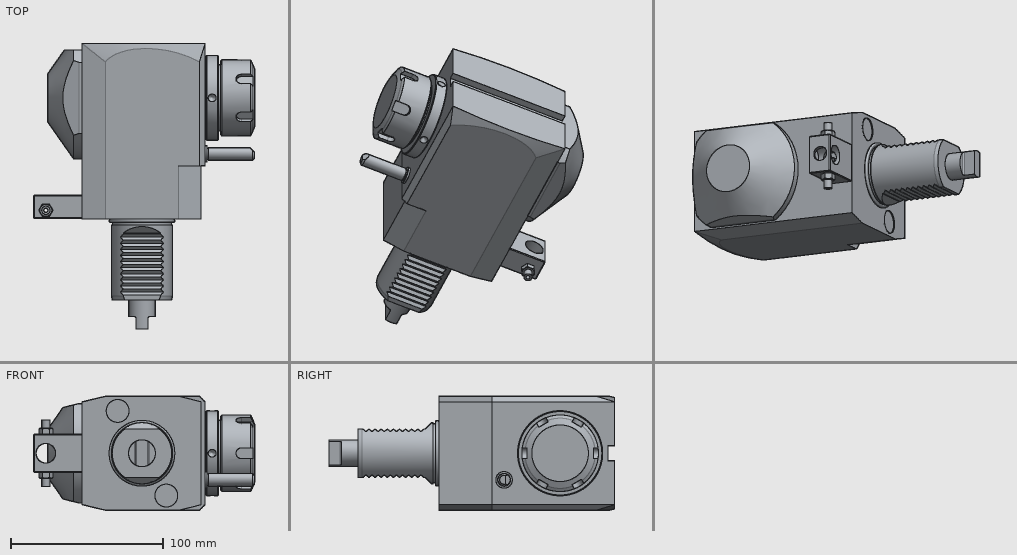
import cadquery as cq
import math


body_back = 115.6
body_left = -39.5
body_right = 41.5
body_half_height = 75.0 / 2
edge_half_height = 33.8
bevel_left = -24.0
bevel_right = 37.8
relief_length = 35.0
relief_right = 39.0
relief_bevel = 24.0
crown_length = 12.2
crown_back_height = 36.7
bevel_slope = math.tan(math.radians(14))
keyway_width = 9.5
keyway_depth = 4.3
plug_radius = 7.5
plug_depth = 0.8
plug_x = 16.0
plug_z = 27.8

collar_radius = 21.6
collar_length = 2.3
neck_radius = 19.5
neck_end = 4.0
shank_radius = 20.1
shank_length = 53.2
shank_chamfer_length = 2.6
shank_chamfer_depth = 0.5
flat_height = 16.0
ramp_start = 4.9
tooth_depth = 1.7
tooth_count = 10
tooth_root_start = 11.8
tooth_root_end = 48.0
tooth_pitch = (tooth_root_end - tooth_root_start) / (tooth_count - 1)
tang_radius = 8.8
tang_shoulder = 64.1
tang_width = 8.0
tang_root_fillet = 1.0
tang_end = 188 - body_back

spindle_y = 79.7
cap_radius = 40.2
cap_rim_end = -45.0
cap_face = -62.0
cap_face_radius = 15.8
cap_back = 111.3
cap_flat_height = 32.7
cap_flat_length = 2.0
ring_start = 42.1
ring_end = 50.2
ring_radius = 28.0
ring_chamfer = 0.5
ring_hole_radius = 2.6
ring_hole_depth = 2.6
ring_hole_count = 4
spindle_neck_radius = 21.8
nut_start = 51.7
nut_bevel = 1.0
nut_radius = 25.2
nut_round_start = 71.5
nut_shoulder = 72.5
nut_shoulder_radius = 23.1
nut_end = 74.3
nut_face_radius = 18.6
slot_count = 6
slot_width = 7.1
slot_start = 61.9
slot_floor_radius = 21.8

pin_y = 42.9
pin_z = -17.5
pin_radius = 8.5 / 2
pin_end = 74.0
pin_chamfer = 1.3
pin_bevel = 3.2
pin_flange_radius = 5.5
pin_flange_end = 42.9
pin_groove_radius = 3.8
pin_groove_end = 43.8

block_left = nut_end - 145.5
block_front = 0.4
block_back = 15.8
block_half_height = 12.6
block_chamfer = 0.5
ball_hole_x = -63.2
ball_hole_radius = 6.4
inlet_y = 7.5
inlet_radius = 4.7
inlet_depth = 18.8
jet_radius = 1.3
jet_depth = 24.5
screw_y = 5.8
screw_radius = 5.5 / 2
screw_end = 22.0
screw_bore_radius = 1.3
nut_width_flats = 8.0
lock_nut_end = 16.5
lock_nut_chamfer = 0.8


def mirrored(half):
    """Join a shape with its mirror image below Z = 0."""
    return half.union(half.mirror("XY"))


def revolve_x(outline, y, z):
    """Turn an (x, radius) outline around the line along X through (y, z)."""
    turned = cq.Workplane("XY").polyline(outline).close().revolve(360, (0, 0, 0), (1, 0, 0))
    return turned.translate((0, y, z))


def housing_prism(upper_right, length):
    """Prism along +Y with a bevelled section; upper_right lists its upper right (x, z) corners."""
    upper = [(body_left, edge_half_height), (bevel_left, body_half_height)] + upper_right
    lower = [(x, -z) for x, z in reversed(upper)]
    return cq.Workplane("XZ").polyline(upper + lower).close().extrude(-length)


def crown_cutter():
    """Wedge above the curved back bevel, ruled between an arc on the back face and one before it."""
    roof = 2 * body_half_height
    middle = (body_left + body_right) / 2
    front_middle = (bevel_left + bevel_right) / 2
    front_height = crown_back_height + crown_length * bevel_slope
    back_arc = cq.Workplane("XZ", origin=(0, body_back, 0)).moveTo(body_left, edge_half_height)
    back_arc = back_arc.threePointArc((middle, crown_back_height), (body_right, edge_half_height))
    back_wire = back_arc.lineTo(body_right, roof).lineTo(body_left, roof).close().val()
    front_arc = cq.Workplane("XZ", origin=(0, body_back - crown_length, 0))
    front_arc = front_arc.moveTo(bevel_left, body_half_height)
    front_arc = front_arc.threePointArc((front_middle, front_height), (bevel_right, body_half_height))
    front_wire = front_arc.lineTo(bevel_right, roof).lineTo(bevel_left, roof).close().val()
    return cq.Workplane(cq.Solid.makeLoft([back_wire, front_wire], True))


def make_housing():
    relief = [(relief_bevel, body_half_height), (relief_right, edge_half_height)]
    full = [(bevel_right, body_half_height), (body_right, edge_half_height)]
    front = housing_prism(relief, relief_length)
    back = housing_prism(full, body_back - relief_length).translate((0, relief_length, 0))
    body = front.union(back).cut(mirrored(crown_cutter()))
    keyway = cq.Workplane("XY").box(4 * body_right, 2 * keyway_depth, keyway_width)
    plugs = (
        cq.Workplane("XZ")
        .pushPoints([(-plug_x, plug_z), (plug_x, -plug_z)])
        .circle(plug_radius)
        .extrude(-plug_depth)
    )
    return body.cut(keyway.translate((0, body_back, 0))).cut(plugs)


def tooth_cutter():
    """Everything above the ramp and the sawtooth line of the upper shank flat."""
    clear = 2 * shank_radius
    ramp_end = ramp_start + shank_radius - flat_height
    outline = [(-ramp_start, clear), (-ramp_start, shank_radius), (-ramp_end, flat_height)]
    for i in range(tooth_count):
        root = tooth_root_start + i * tooth_pitch
        outline.append((-(root - tooth_pitch / 2), flat_height))
        outline.append((-root, flat_height - tooth_depth))
    outline.append((-(tooth_root_end + tooth_pitch / 2), flat_height))
    outline += [(-shank_length, flat_height), (-shank_length, clear)]
    return cq.Workplane("YZ").polyline(outline).close().extrude(shank_radius, both=True)


def make_shank():
    bulge = collar_length / 2
    outline = (
        cq.Workplane("XY")
        .lineTo(collar_radius - bulge, 0)
        .threePointArc((collar_radius, -bulge), (collar_radius - bulge, -collar_length))
        .lineTo(neck_radius, -collar_length)
        .lineTo(neck_radius, -neck_end)
        .lineTo(shank_radius, -neck_end)
        .lineTo(shank_radius, -(shank_length - shank_chamfer_length))
        .lineTo(shank_radius - shank_chamfer_depth, -shank_length)
        .lineTo(0, -shank_length)
        .close()
    )
    shank = outline.revolve(360, (0, 0, 0), (0, 1, 0))
    return shank.cut(mirrored(tooth_cutter()))


def make_tang():
    """Round drive stub whose end is milled to a tang with rounded roots."""
    stub = cq.Workplane("XZ").circle(tang_radius).extrude(tang_end)
    half = tang_width / 2
    side_cut = (
        cq.Workplane("XY")
        .box(tang_radius, 2 * (tang_end - tang_shoulder), 3 * tang_radius)
        .translate((half + tang_radius / 2, -tang_end, 0))
        .edges("<X and >Y")
        .fillet(tang_root_fillet)
    )
    return stub.cut(side_cut).cut(side_cut.mirror("YZ"))


def make_cap():
    outline = [
        (body_left, 0),
        (body_left, cap_radius),
        (cap_rim_end, cap_radius),
        (cap_face, cap_face_radius),
        (cap_face, 0),
    ]
    cap = revolve_x(outline, spindle_y, 0)
    flat_end = body_left - cap_flat_length
    face_height = cap_flat_height - (flat_end - cap_face) * bevel_slope
    upper = [(body_left, cap_flat_height), (flat_end, cap_flat_height), (cap_face, face_height)]
    lower = [(x, -z) for x, z in reversed(upper)]
    keep = cq.Workplane("XZ").polyline(upper + lower).close().extrude(-cap_back)
    return cap.intersect(keep)


def make_ring():
    """Spindle ring with conical spanner holes around its rim, and the neck that joins it to the nut."""
    ring = cq.Workplane("YZ", origin=(ring_start, spindle_y, 0)).circle(ring_radius)
    ring = ring.extrude(ring_end - ring_start).edges().chamfer(ring_chamfer)
    tip = cq.Vector((ring_start + ring_end) / 2, 0, ring_radius - ring_hole_depth)
    hole = cq.Workplane(cq.Solid.makeCone(0, ring_hole_radius, ring_hole_depth, pnt=tip))
    for i in range(ring_hole_count):
        angle = i * 360 / ring_hole_count
        ring = ring.cut(hole.rotate((0, 0, 0), (1, 0, 0), angle).translate((0, spindle_y, 0)))
    neck = cq.Workplane("YZ", origin=(body_right, spindle_y, 0)).circle(spindle_neck_radius)
    return ring.union(neck.extrude(nut_start - body_right))


def make_collet_nut():
    outline = [
        (nut_start, 0),
        (nut_start, nut_radius - nut_bevel),
        (nut_start + nut_bevel, nut_radius),
        (nut_round_start, nut_radius),
        (nut_shoulder, nut_shoulder_radius),
        (nut_end, nut_face_radius),
        (nut_end, 0),
    ]
    nut = revolve_x(outline, spindle_y, 0)
    slot_radius = slot_width / 2
    slot_centre = slot_start + slot_radius
    slot = (
        cq.Workplane("XZ", origin=(0, -slot_floor_radius, 0))
        .moveTo(nut_end, slot_radius)
        .lineTo(slot_centre, slot_radius)
        .threePointArc((slot_start, 0), (slot_centre, -slot_radius))
        .lineTo(nut_end, -slot_radius)
        .close()
        .extrude(nut_radius)
    )
    for i in range(slot_count):
        angle = i * 360 / slot_count
        nut = nut.cut(slot.rotate((0, 0, 0), (1, 0, 0), angle).translate((0, spindle_y, 0)))
    return nut


def make_pin():
    outline = [
        (relief_right, 0),
        (relief_right, pin_flange_radius),
        (pin_flange_end, pin_flange_radius),
        (pin_flange_end, pin_groove_radius),
        (pin_groove_end, pin_groove_radius),
        (pin_groove_end, pin_radius),
        (pin_end - pin_chamfer, pin_radius),
        (pin_end, pin_radius - pin_chamfer),
        (pin_end, 0),
    ]
    pin = revolve_x(outline, pin_y, pin_z)
    side = pin_y + pin_radius
    corner = [(pin_end, side - pin_bevel), (pin_end, side), (pin_end - pin_bevel, side)]
    bevel = cq.Workplane("XY").polyline(corner).close().extrude(2 * pin_z)
    return pin.cut(bevel)


def make_screw():
    """Upper screw of the coolant block with its hexagonal lock nut."""
    base = cq.Workplane("XY", origin=(ball_hole_x, screw_y, block_half_height))
    screw = base.circle(screw_radius).extrude(screw_end - block_half_height)
    corner_radius = nut_width_flats / 2 / math.cos(math.radians(30))
    nut_length = lock_nut_end - block_half_height
    rounded = base.circle(corner_radius).extrude(nut_length).faces(">Z").chamfer(lock_nut_chamfer)
    lock_nut = base.polygon(6, 2 * corner_radius).extrude(nut_length).intersect(rounded)
    return lock_nut.union(screw)


def make_coolant_block():
    block = (
        cq.Workplane("XY")
        .box(body_left - block_left, block_back - block_front, 2 * block_half_height)
        .translate(((body_left + block_left) / 2, (block_front + block_back) / 2, 0))
        .edges("<X or |X")
        .chamfer(block_chamfer)
    )
    ball_hole = cq.Workplane("XZ").center(ball_hole_x, 0).circle(ball_hole_radius).extrude(-block_back)
    inlet = cq.Workplane("YZ", origin=(block_left, inlet_y, 0))
    inlet_hole = inlet.circle(inlet_radius).extrude(inlet_depth)
    jet_hole = inlet.circle(jet_radius).extrude(jet_depth)
    block = block.cut(ball_hole).cut(inlet_hole).cut(jet_hole)
    bore = cq.Workplane("XY", origin=(ball_hole_x, screw_y, 0)).circle(screw_bore_radius)
    bore = bore.extrude(screw_end, both=True)
    return block.union(mirrored(make_screw())).cut(bore)


result = (
    make_housing()
    .union(make_shank())
    .union(make_tang())
    .union(make_cap())
    .union(make_ring())
    .union(make_collet_nut())
    .union(make_pin())
    .union(make_coolant_block())
)